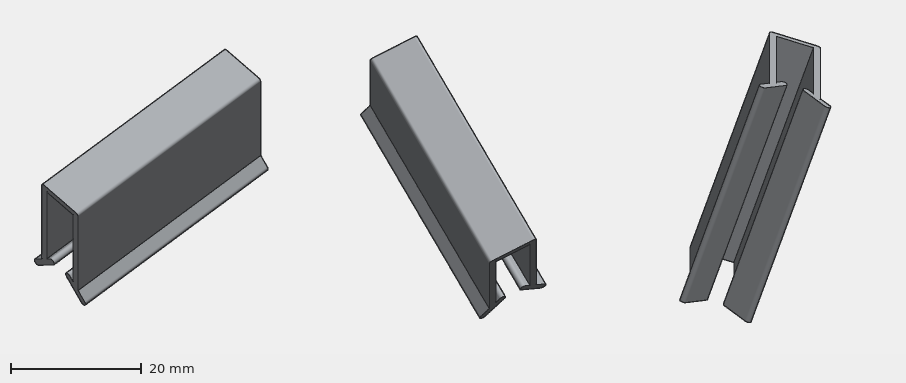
import cadquery as cq
import math

length = 38.1
height = 21.84
lip_span = 11.55
channel_width = 8.22
wall = 1.143
lip_gap = 2.54
corner_radius = 0.508
lip_angle = 45.0

cavity_width = channel_width - 2 * wall
tip_radius = wall / 2
outer_tip_x = lip_span / 2 - tip_radius
inner_tip_x = lip_gap / 2 + tip_radius
tip_distance = outer_tip_x - inner_tip_x
tip_rise = tip_distance * math.tan(math.radians(lip_angle))
lip_length = math.hypot(tip_distance, tip_rise) + wall
lip_center_x = (outer_tip_x + inner_tip_x) / 2
lip_center_z = tip_radius + tip_rise / 2


def extrude_along_length(profile):
    """Extrude an XZ profile symmetrically about Y = 0."""
    return profile.extrude(length / 2, both=True)


def lip_center_height(x):
    """Height of a lip's centre plane at distance x from the part's middle plane."""
    return tip_radius + (outer_tip_x - x) * tip_rise / tip_distance


def make_channel():
    """Inverted U whose walls end on the centre planes of the lips."""
    half_outer = channel_width / 2
    half_inner = cavity_width / 2
    wall_outer_end_z = lip_center_height(half_outer)
    wall_inner_end_z = lip_center_height(half_inner)
    profile = (
        cq.Workplane("XZ")
        .moveTo(-half_outer, wall_outer_end_z)
        .lineTo(-half_outer, height)
        .lineTo(half_outer, height)
        .lineTo(half_outer, wall_outer_end_z)
        .lineTo(half_inner, wall_inner_end_z)
        .lineTo(half_inner, height - wall)
        .lineTo(-half_inner, height - wall)
        .lineTo(-half_inner, wall_inner_end_z)
        .close()
    )
    return extrude_along_length(profile).edges("|Y and >Z").fillet(corner_radius)


def make_lip(side):
    """Round-ended sloping lip; side is -1 for -X and +1 for +X."""
    profile = (
        cq.Workplane("XZ")
        .center(side * lip_center_x, lip_center_z)
        .slot2D(lip_length, wall, -lip_angle * side)
    )
    return extrude_along_length(profile)


result = make_channel()
for side in (-1, 1):
    result = result.union(make_lip(side))